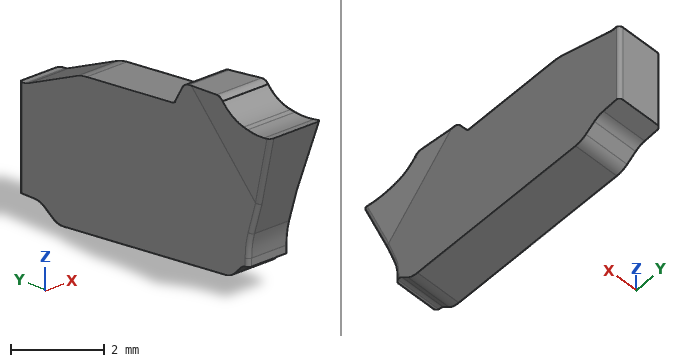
import cadquery as cq
import math


body_width = 1.2
tip_width = 1.5
side_edge_radius = 0.1

length = 8.0
plate_tilt = 5.0

rake_angle = 8.0
rake_run = 0.498
chip_floor_angle = 10.0
chip_floor_run = 0.807
chip_floor_radius = 1.75
chip_wall_angle = 50.0
chip_wall_run = 0.345
chip_wall_radius = 1.13
land_run = 1.19
land_radius = 0.25

step_angle = 60.0
step_run = 0.32
step_foot_radius = 0.1

top_run = 2.9
shoulder_radius = 1.0
ramp_angle = 23.0
ramp_run = 1.71
ramp_end_radius = 0.3

rear_ledge_z = -3.765
rear_ledge_run = 0.663
heel_angle = 35.0
heel_run = 0.55
heel_radius = 0.5
toe_angle = 45.0
toe_ledge_run = 0.155
toe_inner_radius = 0.2
toe_outer_radius = 0.5

relief_angle = 17.0
toe_setback = 0.855
toe_z = -3.305
relief_radius = 2.05

crease_y = 2.63
crease_z = 0.40
crease_angle = 46.6
flare_depth = 1.53
wedge_overlap = 0.3

reach = 2 * length
front_edge_clearance = 0.3
edge_margin = 0.01


def step_from(point, run, angle):
    """Point reached by moving a distance `run` along +Y on a line rising at `angle` degrees."""
    return (point[0] + run, point[1] + run * math.tan(math.radians(angle)))


def crossing(first, first_angle, second, second_angle):
    """Crossing of two lines in the YZ plane, each given by a point and its slope in degrees."""
    first_slope = math.tan(math.radians(first_angle))
    second_slope = math.tan(math.radians(second_angle))
    height_gap = second[1] - first[1] - second_slope * (second[0] - first[0])
    return step_from(first, height_gap / (first_slope - second_slope), first_angle)


def rounded_outline(corners):
    """Closed YZ outline of (point, radius) corners, starting from a sharp one (radius 0)."""
    segments = []
    for index, (point, radius) in enumerate(corners):
        corner = cq.Vector(*point)
        back = (cq.Vector(*corners[index - 1][0]) - corner).normalized()
        ahead = (cq.Vector(*corners[(index + 1) % len(corners)][0]) - corner).normalized()
        half_angle = back.getAngle(ahead) / 2
        setback = radius / math.tan(half_angle)
        apex_distance = radius / math.sin(half_angle) - radius
        start = corner + back * setback
        middle = corner + (back + ahead).normalized() * apex_distance
        end = corner + ahead * setback
        segments.append((start, middle, end, radius))

    first_corner = segments[0][0]
    outline = cq.Workplane("YZ").moveTo(first_corner.x, first_corner.y)
    for start, middle, end, radius in segments[1:]:
        outline = outline.lineTo(start.x, start.y)
        if radius > 0:
            outline = outline.threePointArc((middle.x, middle.y), (end.x, end.y))
    return outline.close()


def profile_corners():
    """Corners of the side profile, from the cutting edge over the top and back underneath."""
    tip = (0, 0)
    chip_floor = step_from(tip, rake_run, -rake_angle)
    chip_wall_foot = step_from(chip_floor, chip_floor_run, chip_floor_angle)
    land_front = step_from(chip_wall_foot, chip_wall_run, chip_wall_angle)
    land_rear = step_from(land_front, land_run, -plate_tilt)
    step_foot = step_from(land_rear, step_run, -step_angle)
    shoulder = step_from(step_foot, top_run, -plate_tilt)
    ramp_end = step_from(shoulder, ramp_run, -ramp_angle)
    rear_top = step_from(ramp_end, length - ramp_end[0], -plate_tilt)
    rear_bottom = (length, rear_ledge_z)
    heel_top = (length - rear_ledge_run, rear_ledge_z)
    heel_bottom = step_from(heel_top, -heel_run, heel_angle)
    toe_front = (toe_setback, toe_z)
    toe_inner = (toe_setback + toe_ledge_run, toe_z)
    toe_outer = crossing(toe_inner, -toe_angle, heel_bottom, -plate_tilt)
    relief_foot = (toe_setback, -toe_setback / math.tan(math.radians(relief_angle)))
    return [
        (tip, 0),
        (chip_floor, chip_floor_radius),
        (chip_wall_foot, chip_wall_radius),
        (land_front, land_radius),
        (land_rear, land_radius),
        (step_foot, step_foot_radius),
        (shoulder, shoulder_radius),
        (ramp_end, ramp_end_radius),
        (rear_top, 0),
        (rear_bottom, 0),
        (heel_top, heel_radius),
        (heel_bottom, heel_radius),
        (toe_outer, toe_outer_radius),
        (toe_inner, toe_inner_radius),
        (toe_front, 0),
        (relief_foot, relief_radius),
    ]


def body_slab():
    """Block of constant body width that holds the whole profile."""
    return cq.Workplane("XY").box(body_width, 2 * reach, 2 * reach)


def flared_wedge():
    """Block that widens steadily ahead of the crease, starting a little inside the body slab."""
    flare_slope = (tip_width - body_width) / 2 / flare_depth
    rear_half = body_width / 2 - flare_slope * wedge_overlap
    front_half = body_width / 2 + flare_slope * reach
    down_crease = (0, -math.cos(math.radians(crease_angle)), -math.sin(math.radians(crease_angle)))
    section_plane = cq.Plane(origin=(0, crease_y, crease_z), xDir=(1, 0, 0), normal=down_crease)
    section = [
        (-rear_half, -wedge_overlap),
        (rear_half, -wedge_overlap),
        (front_half, reach),
        (-front_half, reach),
    ]
    return cq.Workplane(section_plane).polyline(section).close().extrude(reach, both=True)


def round_front_edges(plate):
    """Round the edges where the two flanks meet the front face."""
    front_zone = cq.selectors.BoxSelector(
        (-tip_width, -edge_margin, toe_z - edge_margin),
        (tip_width, toe_setback + edge_margin, -front_edge_clearance),
    )
    return plate.edges("not |X").edges(front_zone).fillet(side_edge_radius)


profile = rounded_outline(profile_corners()).extrude(tip_width, both=True)
body = profile.intersect(body_slab()).edges("|Z and >Y").fillet(side_edge_radius)
body = round_front_edges(body)
cutting_head = round_front_edges(profile.intersect(flared_wedge()))
result = body.union(cutting_head)